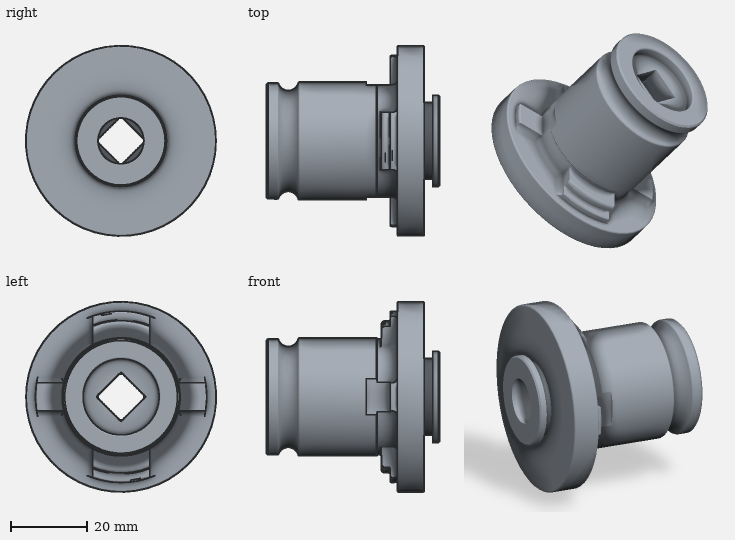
import cadquery as cq
import math


overall_length = 45.5
groove_centre_x = 5.75
flat_start_x = 26.25
body_end_x = 28.9
upper_tier_x = 30.2
lower_tier_x = 32.5
flange_front_x = 34.4
flange_back_x = 41.45
collar_front_x = 43.65

rim_radius = 15.25
body_radius = 15.5
hub_radius = 15.25
flange_radius = 25.0
neck_radius = 10.1
collar_radius = 12.0

groove_floor_radius = 13.25
groove_arc_radius = 2.75

lower_tier_radius = 22.5
upper_tier_radius = 20.0
tall_lug_width = 15.0
side_lug_width = 7.4
flat_offset = 14.75

socket_radius = 10.0
socket_depth = 3.0
square_side = 9.1
square_depth = 5.0
bore_radius = 6.0

root_fillet = 1.4
rim_chamfer = 0.45
groove_edge_fillet = 0.5
body_end_chamfer = 0.25
flange_fillet = 0.45
collar_chamfer = 0.4
lower_tier_fillet = 0.5
upper_tier_fillet = 1.0
tier_step_fillet = 0.25
lug_base_fillet = 0.3
socket_fillet = 0.5

lug_embed = 0.5
lug_root_x = flange_front_x + lug_embed

root_start_x = flange_front_x - root_fillet
root_inset = root_fillet * (1 - math.sqrt(0.5))

pick_margin = 0.005


def revolve_about_axis(profile):
    """Turn a closed XY outline a full revolution about the X axis."""
    return profile.close().revolve(360, (0, 0, 0), (1, 0, 0))


def edges_at(x, radius):
    """Pick the circular edges at a station on the axis, out to a radius."""
    reach = radius + pick_margin
    low_corner = (x - pick_margin, -reach, -reach)
    high_corner = (x + pick_margin, reach, reach)
    return cq.selectors.BoxSelector(low_corner, high_corner, boundingbox=True)


def groove_half_width(radius):
    """Half the axial width of the groove arc where it meets a cylinder."""
    rise = groove_floor_radius + groove_arc_radius - radius
    return math.sqrt(groove_arc_radius**2 - rise**2)


def turned_body():
    groove_start_x = groove_centre_x - groove_half_width(rim_radius)
    groove_end_x = groove_centre_x + groove_half_width(body_radius)
    profile = (
        cq.Workplane("XY")
        .lineTo(0, rim_radius - rim_chamfer)
        .lineTo(rim_chamfer, rim_radius)
        .lineTo(groove_start_x, rim_radius)
        .threePointArc((groove_centre_x, groove_floor_radius), (groove_end_x, body_radius))
        .lineTo(body_end_x, body_radius)
        .lineTo(body_end_x + body_end_chamfer, hub_radius)
        .lineTo(root_start_x, hub_radius)
        .threePointArc(
            (flange_front_x - root_inset, hub_radius + root_inset),
            (flange_front_x, hub_radius + root_fillet),
        )
        .lineTo(flange_front_x, flange_radius)
        .lineTo(flange_back_x, flange_radius)
        .lineTo(flange_back_x, neck_radius)
        .lineTo(collar_front_x, neck_radius)
        .lineTo(collar_front_x, collar_radius)
        .lineTo(overall_length - collar_chamfer, collar_radius)
        .lineTo(overall_length, collar_radius - collar_chamfer)
        .lineTo(overall_length, 0)
    )
    body = revolve_about_axis(profile)
    for x, radius in ((groove_start_x, rim_radius), (groove_end_x, body_radius)):
        body = body.edges(edges_at(x, radius)).fillet(groove_edge_fillet)
    outermost = cq.selectors.RadiusNthSelector(-1)
    for x in (flange_front_x, flange_back_x):
        body = body.edges(edges_at(x, flange_radius)).edges(outermost).fillet(flange_fillet)
    return body


def cut_side_flats(body):
    flat_length = lower_tier_x - flat_start_x
    for side in (-1, 1):
        cutter = cq.Workplane("XY").box(flat_length, body_radius, 2 * body_radius)
        centre = (flat_start_x + flat_length / 2, side * (flat_offset + body_radius / 2), 0)
        body = body.cut(cutter.translate(centre))
    return body


def lug_bar(plane, width, front_x):
    """Bar across the full diameter, flaring out where it meets the flange."""
    half = width / 2
    return (
        cq.Workplane(plane)
        .moveTo(front_x, -half)
        .lineTo(front_x, half)
        .lineTo(root_start_x, half)
        .threePointArc(
            (flange_front_x - root_inset, half + root_inset),
            (flange_front_x, half + root_fillet),
        )
        .lineTo(lug_root_x, half + root_fillet)
        .lineTo(lug_root_x, -half - root_fillet)
        .lineTo(flange_front_x, -half - root_fillet)
        .threePointArc(
            (flange_front_x - root_inset, -half - root_inset),
            (root_start_x, -half),
        )
        .close()
        .extrude(flange_radius, both=True)
    )


def lower_tier_disc():
    return (
        cq.Workplane("YZ", origin=(lower_tier_x, 0, 0))
        .circle(lower_tier_radius)
        .extrude(lug_root_x - lower_tier_x)
        .faces("<X")
        .edges()
        .fillet(lower_tier_fillet)
    )


def stepped_disc():
    upper_tier = (
        cq.Workplane("YZ", origin=(upper_tier_x, 0, 0))
        .circle(upper_tier_radius)
        .extrude(lower_tier_x - upper_tier_x)
        .faces("<X")
        .edges()
        .fillet(upper_tier_fillet)
    )
    disc = lower_tier_disc().union(upper_tier)
    return disc.edges(edges_at(lower_tier_x, upper_tier_radius)).fillet(tier_step_fillet)


def add_lugs(body):
    tall_lugs = lug_bar("XY", tall_lug_width, upper_tier_x).intersect(stepped_disc())
    side_lugs = lug_bar("XZ", side_lug_width, lower_tier_x).intersect(lower_tier_disc())
    return body.union(tall_lugs).union(side_lugs)


def cut_openings(body):
    socket = (
        cq.Workplane("YZ")
        .circle(socket_radius)
        .extrude(socket_depth)
        .faces(">X")
        .edges()
        .fillet(socket_fillet)
    )
    square = (
        cq.Workplane("YZ", origin=(socket_depth, 0, 0))
        .rect(square_side, square_side)
        .extrude(square_depth)
        .rotate((0, 0, 0), (1, 0, 0), 45)
    )
    bore_start_x = socket_depth + square_depth
    bore = (
        cq.Workplane("YZ", origin=(bore_start_x, 0, 0))
        .circle(bore_radius)
        .extrude(overall_length - bore_start_x)
    )
    body = body.cut(socket).cut(square).cut(bore)
    return body.edges(edges_at(0, socket_radius)).fillet(socket_fillet)


def blend_lug_bases(body):
    """Small fillet where the fronts and flanks of the tall lugs meet the hub."""
    reach = tall_lug_width / 2 + pick_margin
    corner_height = math.sqrt(hub_radius**2 - (tall_lug_width / 2) ** 2)
    for side in (-1, 1):
        inner = side * (corner_height - pick_margin)
        outer = side * (hub_radius + pick_margin)
        low_corner = (upper_tier_x - pick_margin, -reach, min(inner, outer))
        high_corner = (root_start_x + pick_margin, reach, max(inner, outer))
        base = cq.selectors.BoxSelector(low_corner, high_corner, boundingbox=True)
        body = body.edges(base).fillet(lug_base_fillet)
    return body


result = turned_body()
result = cut_side_flats(result)
result = add_lugs(result)
result = cut_openings(result)
result = blend_lug_bases(result)